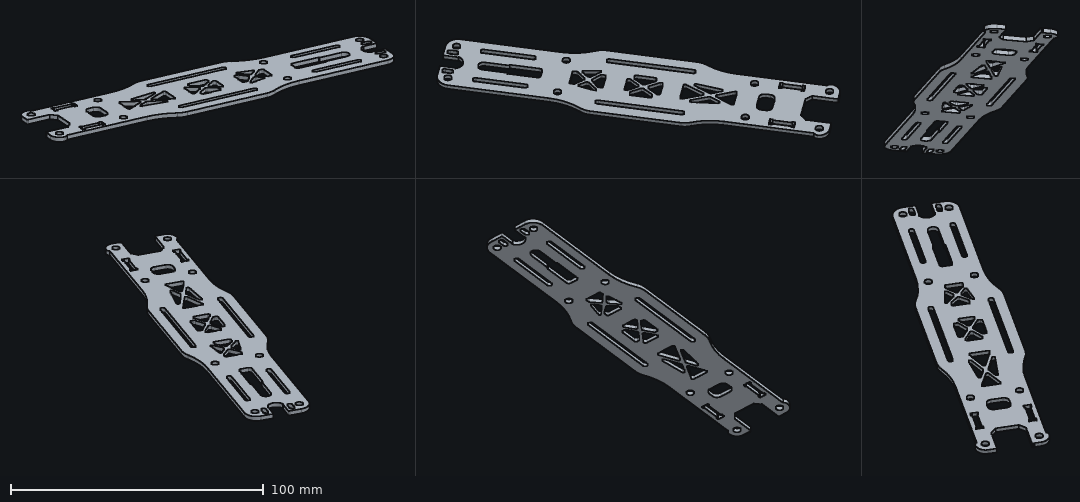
import cadquery as cq
import math

length = 158.7
width = 36.0
thickness = 2.0

front_y = length / 2
nib_height = 0.3
ear_end_y = -length / 2 + nib_height
waist_half = width / 2
front_half = 13.6
rear_half = 14.1
ear_half = 15.0
front_corner_radius = 5.0
ear_radius = 4.1
ear_shoulder_radius = 1.9

flare_radius = 27.0
waist_radius = 8.7
front_waist_y = 16.2
rear_waist_y = -20.5

front_notch_width = 6.2
front_notch_seat_width = 6.7
front_notch_seat_y = 73.0
front_notch_bottom_y = 70.6
rear_notch_width = 14.1
rear_notch_top_y = -66.3
rear_notch_chamfer = 2.4
notch_lip_radius = 0.5

front_hole_x = 9.4
screw_hole_diameter = 3.0
screw_holes = [
    (front_hole_x, 74.9),
    (front_hole_x, 30.8),
    (10.0, -44.9),
    (ear_half - ear_radius, ear_end_y + ear_radius),
]

strap_slot_width = 2.0
strap_slots = [
    (5.5, 75.7, 4.5),
    (8.4, 54.0, 22.2),
    (12.2, -2.9, 35.9),
]

buckle_x = 10.8
buckle_bottom_y = -64.9
buckle_top_y = -54.7
buckle_width = 2.0
buckle_head_width = 3.0
buckle_head_height = 1.1

keyhole_narrow_width = 4.3
keyhole_wide_width = 5.2
keyhole_top_y = 64.4
keyhole_step_y = 52.2
keyhole_bottom_y = 39.0
keyhole_corner_radius = 1.1

window_width = 9.2
window_bottom_y = -54.5
window_top_y = -48.0
window_radius = 2.2


def polygon_prism(points):
    """Polygon extruded through the plate thickness."""
    return cq.Workplane("XY").polyline(points).close().extrude(thickness)


def box_prism(x, box_width, bottom, top):
    """Rectangle centred on x between two Y positions, extruded through the plate."""
    return cq.Workplane("XY").center(x, (bottom + top) / 2).rect(box_width, top - bottom).extrude(thickness)


def disc_prism(x, y, diameter):
    return cq.Workplane("XY").center(x, y).circle(diameter / 2).extrude(thickness)


def both_sides(solid):
    """Solid together with its mirror image in the YZ plane."""
    return solid.union(solid.mirror("YZ"), clean=True)


def flare_points(narrow_half, waist_y, direction):
    """Waist end, first arc middle, join, second arc middle and narrow end of a flare.

    direction is +1 for a flare that runs toward +Y and -1 toward -Y.
    """
    turn = math.acos(1 - (waist_half - narrow_half) / (waist_radius + flare_radius))
    narrow_y = waist_y + direction * (waist_radius + flare_radius) * math.sin(turn)

    def on_waist_arc(angle):
        x = waist_half - waist_radius * (1 - math.cos(angle))
        return x, waist_y + direction * waist_radius * math.sin(angle)

    def on_flare_arc(angle):
        x = narrow_half + flare_radius * (1 - math.cos(angle))
        return x, narrow_y - direction * flare_radius * math.sin(angle)

    return on_waist_arc(0), on_waist_arc(turn / 2), on_waist_arc(turn), on_flare_arc(turn / 2), on_flare_arc(0)


def plate_half():
    """The +X half of the plate, without notches."""
    front_waist, front_bend, front_join, front_sweep, front_narrow = flare_points(front_half, front_waist_y, 1)
    rear_waist, rear_bend, rear_join, rear_sweep, rear_narrow = flare_points(rear_half, rear_waist_y, -1)

    corner_x = front_half - front_corner_radius
    corner_y = front_y - front_corner_radius
    corner_diagonal = front_corner_radius * math.sqrt(0.5)

    ear_x = ear_half - ear_radius
    ear_y = ear_end_y + ear_radius
    ear_diagonal = ear_radius * math.sqrt(0.5)

    shoulder_x = ear_half - ear_shoulder_radius
    shoulder_angle = math.acos((rear_half - shoulder_x) / ear_shoulder_radius)
    shoulder_top = (rear_half, ear_y + ear_shoulder_radius * math.sin(shoulder_angle))
    shoulder_middle = (
        shoulder_x + ear_shoulder_radius * math.cos(shoulder_angle / 2),
        ear_y + ear_shoulder_radius * math.sin(shoulder_angle / 2),
    )

    return (
        cq.Workplane("XY")
        .moveTo(0, front_y)
        .lineTo(corner_x, front_y)
        .threePointArc((corner_x + corner_diagonal, corner_y + corner_diagonal), (front_half, corner_y))
        .lineTo(*front_narrow)
        .threePointArc(front_sweep, front_join)
        .threePointArc(front_bend, front_waist)
        .lineTo(*rear_waist)
        .threePointArc(rear_bend, rear_join)
        .threePointArc(rear_sweep, rear_narrow)
        .lineTo(*shoulder_top)
        .threePointArc(shoulder_middle, (ear_half, ear_y))
        .threePointArc((ear_x + ear_diagonal, ear_y - ear_diagonal), (ear_x, ear_end_y))
        .lineTo(0, ear_end_y)
        .close()
        .extrude(thickness)
    )


def front_notch():
    """Straight notch in the +Y end with a round seat at its bottom."""
    seat_half = front_notch_seat_width / 2
    seat = (
        cq.Workplane("XY")
        .moveTo(-seat_half, front_notch_seat_y)
        .threePointArc((0, front_notch_bottom_y), (seat_half, front_notch_seat_y))
        .close()
        .extrude(thickness)
    )
    return box_prism(0, front_notch_width, front_notch_seat_y, front_y).union(seat)


def rear_notch():
    """Notch in the -Y end with chamfered inner corners."""
    notch = box_prism(0, rear_notch_width, ear_end_y, rear_notch_top_y)
    return notch.edges("|Z and >Y").chamfer(rear_notch_chamfer)


def lip_edges(notch_width, y):
    """Selector for the vertical edges where a notch opens into an end of the plate."""
    reach = notch_width / 2 + notch_lip_radius
    return cq.selectors.BoxSelector(
        (-reach, y - notch_lip_radius, 0),
        (reach, y + notch_lip_radius, thickness),
    )


def ear_nib():
    """Small pointed nib under the +X rear ear, beside the notch."""
    nib_x = 7.8
    nib_half = 0.3
    return polygon_prism([
        (nib_x - nib_half, ear_end_y + nib_height),
        (nib_x - nib_half, ear_end_y),
        (nib_x, ear_end_y - nib_height),
        (nib_x + nib_half, ear_end_y),
        (nib_x + nib_half, ear_end_y + nib_height),
    ])


def strap_slot(x, y, slot_length):
    return cq.Workplane("XY").center(x, y).slot2D(slot_length, strap_slot_width, 90).extrude(thickness)


def buckle_slot():
    slot = box_prism(buckle_x, buckle_width, buckle_bottom_y, buckle_top_y)
    for bottom in (buckle_bottom_y, buckle_top_y - buckle_head_height):
        slot = slot.union(box_prism(buckle_x, buckle_head_width, bottom, bottom + buckle_head_height))
    return slot


def keyhole():
    round_y = keyhole_top_y - keyhole_narrow_width / 2
    wide_part = box_prism(0, keyhole_wide_width, keyhole_bottom_y, keyhole_step_y)
    wide_part = wide_part.edges("|Z and <Y").fillet(keyhole_corner_radius)
    narrow_part = box_prism(0, keyhole_narrow_width, keyhole_step_y, round_y)
    return wide_part.union(narrow_part).union(disc_prism(0, round_y, keyhole_narrow_width))


def rear_window():
    window = box_prism(0, window_width, window_bottom_y, window_top_y)
    return window.edges("|Z").fillet(window_radius)


def cross_window(upper, lower, side, radius):
    """Four rounded openings that leave an X of struts.

    upper and lower start at their apex on X = 0 and list the +X corners;
    side lists every corner of the +X side opening.
    """
    cutter = both_sides(polygon_prism(side).edges("|Z").fillet(radius))
    for half_outline in (upper, lower):
        mirrored = [(-x, y) for x, y in reversed(half_outline[1:])]
        cutter = cutter.union(polygon_prism(half_outline + mirrored).edges("|Z").fillet(radius))
    return cutter


front_cross = cross_window(
    upper=[(0, 21.3), (3.6, 25.2), (3.6, 27.1)],
    lower=[(0, 18.9), (3.6, 15.7), (3.6, 13.6)],
    side=[(1.6, 20.6), (4.3, 24.0), (6.2, 14.9), (1.6, 19.7)],
    radius=0.5,
)
middle_cross = cross_window(
    upper=[(0, -0.6), (4.1, 5.0)],
    lower=[(0, -3.3), (4.3, -9.4)],
    side=[(1.0, -1.9), (4.0, 2.5), (5.9, 2.5), (5.9, -6.3), (4.0, -6.3)],
    radius=0.8,
)
rear_cross = cross_window(
    upper=[(0, -27.1), (4.6, -17.5)],
    lower=[(0, -30.5), (4.3, -39.0)],
    side=[(1.0, -28.9), (5.9, -18.4), (3.8, -34.9)],
    radius=0.6,
)

result = both_sides(plate_half())
result = result.cut(front_notch()).cut(rear_notch())
for notch_width, notch_y in ((front_notch_width, front_y), (rear_notch_width, ear_end_y)):
    result = result.edges(lip_edges(notch_width, notch_y)).edges("|Z").fillet(notch_lip_radius)
result = result.union(ear_nib())

for x, y in screw_holes:
    result = result.cut(both_sides(disc_prism(x, y, screw_hole_diameter)))
for x, y, slot_length in strap_slots:
    result = result.cut(both_sides(strap_slot(x, y, slot_length)))
for opening in (keyhole(), rear_window(), both_sides(buckle_slot()), front_cross, middle_cross, rear_cross):
    result = result.cut(opening)